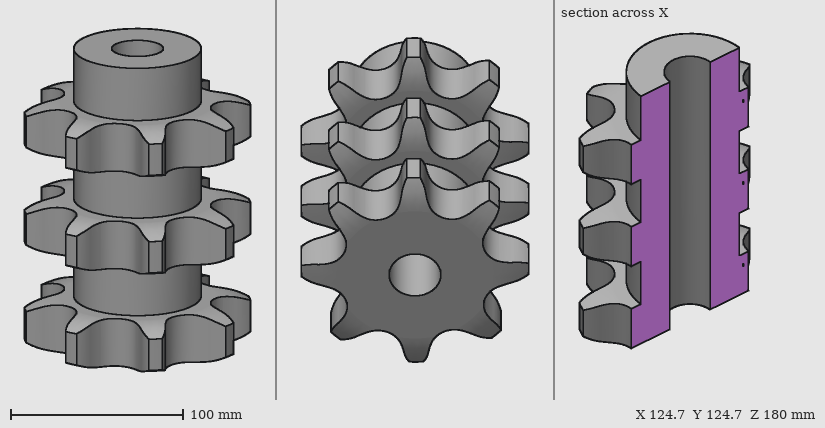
import cadquery as cq
import math

pitch = 44.45
roller_dia = 27.94
row_spacing = 59.56
inch = 25.4

tooth_count = 8
row_count = 3
tip_radius = 66.0
row_thickness = 29.0
total_height = 180.0
hub_dia = 74.0
bore_dia = 30.0

side_arc_radius = pitch
side_drop_at_tip = 5.0
side_reach = math.sqrt(side_arc_radius**2 - (side_arc_radius - side_drop_at_tip) ** 2)
side_flat_radius = tip_radius - side_reach

pitch_angle = 360.0 / tooth_count
pitch_radius = pitch / (2 * math.sin(math.radians(pitch_angle / 2)))
seat_radius = 0.5025 * roller_dia + 0.0015 * inch
working_radius = 1.3025 * roller_dia + 0.0015 * inch
seat_end_angle = 35.0 + 60.0 / tooth_count
working_sweep = 18.0 - 56.0 / tooth_count
topping_angle = 17.0 - 64.0 / tooth_count
topping_offset = 1.4 * roller_dia


def polar(center, radius, angle):
    """Point at the given radius and angle (degrees) from a center."""
    a = math.radians(angle)
    return (center[0] + radius * math.cos(a), center[1] + radius * math.sin(a))


def mirrored(point):
    return (-point[0], point[1])


def tooth_gap():
    """Cutter for the gap centered on +Y, between two neighboring teeth."""
    roller = (0.0, pitch_radius)
    root = polar(roller, seat_radius, -90)
    seat_end = polar(roller, seat_radius, -seat_end_angle)

    working_center = polar(seat_end, working_radius, 180 - seat_end_angle)
    flank_angle = seat_end_angle - working_sweep
    working_mid = polar(working_center, working_radius, -seat_end_angle + working_sweep / 2)
    working_end = polar(working_center, working_radius, -flank_angle)

    topping_center = polar(roller, topping_offset, -pitch_angle / 2)
    straight_length = (
        topping_offset * math.sin(math.radians(topping_angle))
        - 0.8 * roller_dia * math.sin(math.radians(working_sweep))
    )
    straight_end = polar(working_end, straight_length, 90 - flank_angle)
    topping_radius = math.dist(topping_center, straight_end)
    topping_end = polar(topping_center, topping_radius, 90)
    topping_mid = polar(topping_center, topping_radius, 135 - flank_angle / 2)

    return (
        cq.Workplane("XY")
        .moveTo(*topping_end)
        .threePointArc(topping_mid, straight_end)
        .lineTo(*working_end)
        .threePointArc(working_mid, seat_end)
        .threePointArc(root, mirrored(seat_end))
        .threePointArc(mirrored(working_mid), mirrored(working_end))
        .lineTo(*mirrored(straight_end))
        .threePointArc(mirrored(topping_mid), mirrored(topping_end))
        .close()
        .extrude(row_thickness)
    )


def row_blank():
    """Disc with its rim rounded off on both sides, standing on Z = 0."""

    def drop(radius):
        reach = radius - side_flat_radius
        return side_arc_radius - math.sqrt(side_arc_radius**2 - reach**2)

    mid_radius = (side_flat_radius + tip_radius) / 2
    return (
        cq.Workplane("XZ")
        .lineTo(side_flat_radius, 0)
        .threePointArc((mid_radius, drop(mid_radius)), (tip_radius, side_drop_at_tip))
        .lineTo(tip_radius, row_thickness - side_drop_at_tip)
        .threePointArc((mid_radius, row_thickness - drop(mid_radius)), (side_flat_radius, row_thickness))
        .lineTo(0, row_thickness)
        .close()
        .revolve(360, (0, 0, 0), (0, 1, 0))
    )


def sprocket_row():
    row = row_blank()
    gap = tooth_gap()
    for i in range(tooth_count):
        row = row.cut(gap.rotate((0, 0, 0), (0, 0, 1), i * pitch_angle))
    return row


def triple_sprocket():
    body = cq.Workplane("XY").circle(hub_dia / 2).extrude(total_height)
    row = sprocket_row()
    for i in range(row_count):
        body = body.union(row.translate((0, 0, i * row_spacing)))
    bore = cq.Workplane("XY").circle(bore_dia / 2).extrude(total_height)
    return body.cut(bore)


result = triple_sprocket()